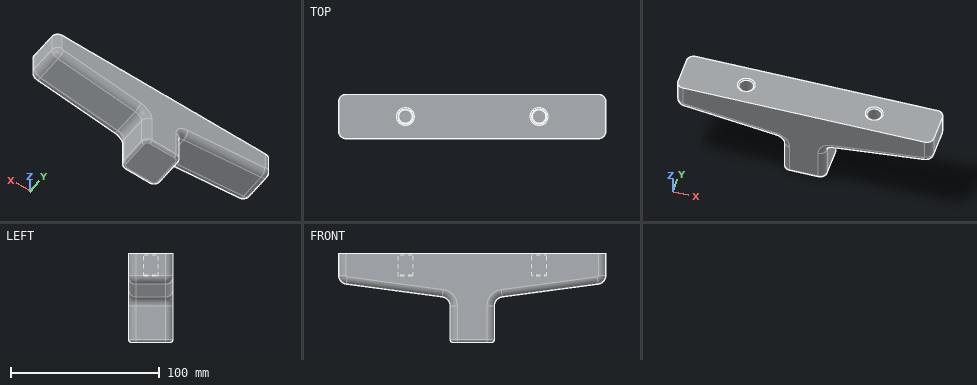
import cadquery as cq

length = 180
depth = 30
height = 60

stem_width = 30
arm_end_height = 20
arm_root_height = 30
profile_radius = 6

side_radius = 5
foot_radius = 2

hole_spacing = 90
hole_diameter = 10
hole_depth = 15
mouth_chamfer = 1
floor_chamfer = 0.5

half_length = length / 2
half_stem = stem_width / 2
arm_end_z = height - arm_end_height
arm_root_z = height - arm_root_height


def make_body():
    """Extrude the T profile and round its arm ends and stem roots."""
    outline = [
        (-half_length, height),
        (-half_length, arm_end_z),
        (-half_stem, arm_root_z),
        (-half_stem, 0),
        (half_stem, 0),
        (half_stem, arm_root_z),
        (half_length, arm_end_z),
        (half_length, height),
    ]
    body = cq.Workplane("XZ").polyline(outline).close().extrude(depth / 2, both=True)
    return body.edges("|Y").edges("not(<Z or >Z)").fillet(profile_radius)


def round_edges(body):
    """Round the front and back outlines, then the bottom rim of the stem."""
    outline_edges = body.faces("<Y or >Y").edges("not(<Z or >Z)")
    body = outline_edges.fillet(side_radius)
    return body.faces("<Z").edges().fillet(foot_radius)


def cut_mounting_holes(body):
    """Cut the two flat-bottomed holes, each with a chamfered mouth and floor edge."""
    mouth_diameter = hole_diameter + 2 * mouth_chamfer
    centres = [(-hole_spacing / 2, 0), (hole_spacing / 2, 0)]
    top = cq.Workplane("XY", origin=(0, 0, height)).pushPoints(centres)
    bores = top.circle(hole_diameter / 2).extrude(-hole_depth)
    bores = bores.faces("<Z").edges().chamfer(floor_chamfer)
    mouths = top.circle(mouth_diameter / 2).extrude(-mouth_chamfer, taper=45)
    return body.cut(bores).cut(mouths)


result = cut_mounting_holes(round_edges(make_body()))